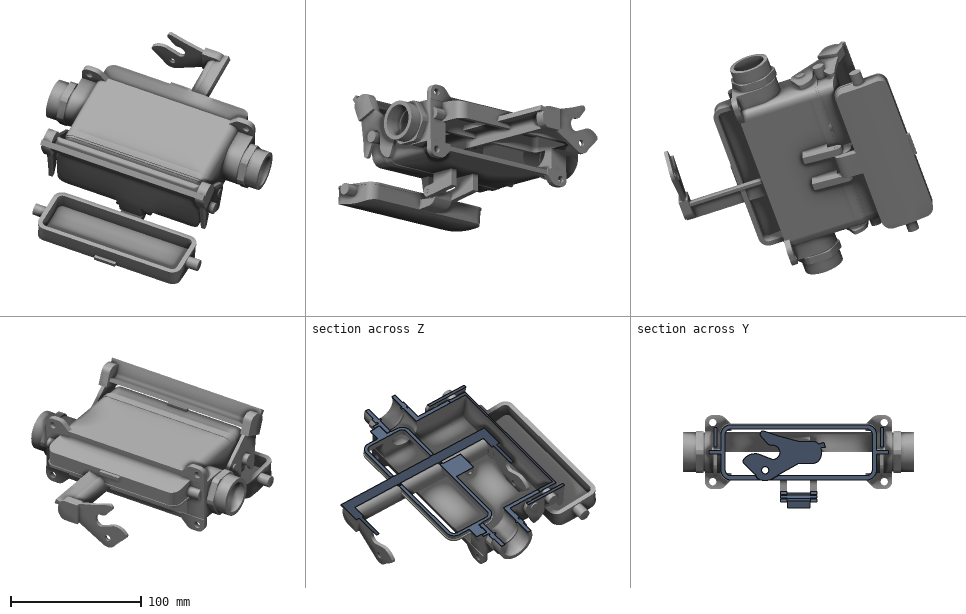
import cadquery as cq
import math

half_width = 60.0
half_height = 21.4
depth = 63.4
wall = 3.6
corner_radius = 7.3
collar_length = 5.7
collar_rise = 0.5

lug_back = 0.5
lug_front = -3.8
lug_half_width = 72.0
lug_half_height = 28.5
lug_corner = 6.0
lug_foot_x = 61.6
lug_foot_radius = 7.6
lug_inner_x = 51.5
lug_hole_x = 65.8
lug_hole_z = 22.7
lug_hole_diameter = 5.5

entry_y = -19.3
boss_radius = 16.2
boss_end = lug_half_width
neck_diameter = 30.0
hex_start = 73.0
hex_end = 78.6
hex_flats = 32.0
hex_corners = 35.1
tube_diameter = 30.5
tube_end = 88.5
entry_bore = 24.2
entry_lip_bore = 21.8
entry_lip_end = 75.2
entry_lip_length = 2.0

cover_half_width = 59.3
cover_half_depth = 20.8
lip_height = 1.7
lip_overhang = 0.5
dome_edge_height = 13.2
dome_height = 15.6
floor_thickness = 1.7
catch_half_width = 8.8
catch_reach = 23.3
catch_bottom = 9.5
catch_top = 12.4
cover_pin_diameter = 9.0
cover_pin_height = 5.5
cover_pin_end = 69.0
hinge_y = -34.2
hinge_z = 1.0
hinge_eye_radius = 3.2
arm_half_width = 8.8
arm_inner_z = 5.3
arm_bend = (-35.3, 9.2)
arm_bend_end = (-31.1, 11.3)
open_angle = 85

embed = 1.0

ear_thickness = 5.3
ear_radius = 4.2
ear_lean = 0.8
ear_back = -37.2
ear_step = -57.2
ear_back_bottom = -34.3
ear_step_top = -28.8
ear_hole_diameter = 3.2
hinge_pin_diameter = 2.5

lever_half_length = 68.3
head_half_height = 8.5
head_length = 7.3
head_straight = 11.0
shoulder_x = 13.5
shoulder_z = 8.0
nose_x = 15.5
nose_z = 6.5
head_end_x = 17.7
bar_side_x = 4.4
bar_bottom_z = -6.0
bar_bend = (6.5, 3.6)
bar_bend_end = (10.3, 5.5)
bar_top_start = (10.9, 5.3)
bar_top_end = (19.5, 7.8)
bar_edge_x = 20.8
bar_inner_x = 6.9
bar_inner_z = 3.6
bar_inner_radius = 3.8
arm_outer = 65.5
arm_thickness = 2.9
pivot_x = -25.8
pivot_z = -13.7
pivot_diameter = 5.2
rivet_head_diameter = 7.0
rivet_end = 66.5
slot_x = -20.0
slot_radius = 5.3

lobe_start = (-21.8, -20.8)
lobe_middle = (-28.0, -21.5)
lobe_end = (-33.0, -17.5)
tip_start = (-42.2, -8.5)
tip_middle = (-43.0, -6.7)
tip_end = (-42.0, -5.0)
lip_middle = (-37.2, -1.5)
lip_end = (-31.3, -1.0)
slot_corner_middle = (-22.5, 5.5)
slot_corner_end = (-24.0, 6.5)
hook_start = (-28.8, 12.0)
hook_middle = (-29.5, 15.0)
hook_end = (-27.0, 16.6)
hook_back = (-15.6, 12.8)

closed_lever_turn = 112.6
closed_lever_y = -76.0
closed_lever_z = 18.5

hinge_axis_y = -depth - hinge_z
hinge_axis_z = hinge_y
hinge_end = arm_half_width + ear_thickness


def block(x_range, y_range, z_range):
    size = [high - low for low, high in (x_range, y_range, z_range)]
    corner = (x_range[0], y_range[0], z_range[0])
    return cq.Workplane("XY").box(*size, centered=False).translate(corner)


def rod_x(x_start, x_end, y, z, diameter):
    """A round rod along X."""
    return (
        cq.Workplane("YZ", origin=(x_start, y, z)).circle(diameter / 2).extrude(x_end - x_start)
    )


def rounded_bar_y(width, height, radius, y_front, y_back):
    """A bar along Y with its four long edges rounded."""
    bar = cq.Workplane("XZ", origin=(0, y_back, 0)).rect(width, height).extrude(y_back - y_front)
    return bar.edges("|Y").fillet(radius)


def both_sides(shape):
    return shape.union(shape.mirror("YZ"))


def largest_piece(shape):
    """The main solid left after a notch, without any corner that the notch severed."""
    return cq.Workplane(max(shape.val().Solids(), key=lambda solid: solid.Volume()))


def cover_tray():
    """Shallow tray with an outset lip and a floor curved about X."""

    def curved_block(half_x, half_y, edge_height, middle_height):
        return (
            cq.Workplane("YZ", origin=(-half_x, 0, 0))
            .moveTo(-half_y, 0)
            .lineTo(half_y, 0)
            .lineTo(half_y, edge_height)
            .threePointArc((0, middle_height), (-half_y, edge_height))
            .close()
            .extrude(2 * half_x)
        )

    tray = curved_block(cover_half_width, cover_half_depth, dome_edge_height, dome_height)
    tray = tray.edges("|Z").fillet(corner_radius)
    lip = (
        cq.Workplane("XY")
        .rect(2 * (cover_half_width + lip_overhang), 2 * (cover_half_depth + lip_overhang))
        .extrude(lip_height)
        .edges("|Z")
        .fillet(corner_radius + lip_overhang)
    )
    cavity = curved_block(
        cover_half_width + lip_overhang - wall,
        cover_half_depth + lip_overhang - wall,
        dome_edge_height - floor_thickness,
        dome_height - floor_thickness,
    )
    cavity = cavity.edges("|Z").fillet(corner_radius + lip_overhang - wall)
    return tray.union(lip).cut(cavity)


def cover_arm():
    """Curved hinge arm ending in an eye round the hinge axis."""
    root_y = embed - cover_half_depth
    eye_inner_y = hinge_y + hinge_eye_radius
    eye_outer_y = hinge_y - hinge_eye_radius
    return (
        cq.Workplane("YZ", origin=(-arm_half_width, 0, 0))
        .moveTo(root_y, arm_inner_z)
        .lineTo(eye_inner_y, arm_inner_z)
        .lineTo(eye_inner_y, hinge_z)
        .threePointArc((hinge_y, hinge_z - hinge_eye_radius), (eye_outer_y, hinge_z))
        .lineTo(eye_outer_y, arm_inner_z)
        .threePointArc(arm_bend, arm_bend_end)
        .lineTo(root_y, dome_edge_height)
        .close()
        .extrude(2 * arm_half_width)
    )


def cover():
    body = cover_tray().union(cover_arm())
    body = body.union(
        block(
            (-catch_half_width, catch_half_width),
            (cover_half_depth - embed, catch_reach),
            (catch_bottom, catch_top),
        )
    )
    pin = rod_x(cover_half_width - embed, cover_pin_end, 0, cover_pin_height, cover_pin_diameter)
    body = body.union(both_sides(pin))
    return body.cut(
        rod_x(-arm_half_width, arm_half_width, hinge_y, hinge_z, hinge_pin_diameter)
    )


def lever_bar():
    """Angle-shaped grip bar with a rounded outer corner."""
    return (
        cq.Workplane("XZ", origin=(0, lever_half_length, 0))
        .moveTo(bar_side_x, bar_bottom_z)
        .lineTo(bar_side_x, 0)
        .threePointArc(bar_bend, bar_bend_end)
        .lineTo(*bar_top_start)
        .lineTo(*bar_top_end)
        .lineTo(bar_edge_x, bar_inner_z)
        .lineTo(bar_inner_x + bar_inner_radius, bar_inner_z)
        .tangentArcPoint((bar_inner_x, bar_inner_z - bar_inner_radius), relative=False)
        .lineTo(bar_inner_x, bar_bottom_z)
        .close()
        .extrude(2 * lever_half_length)
    )


def lever_head():
    """Block with a rounded end that joins the bar to the flat arm."""
    return (
        cq.Workplane("XZ", origin=(0, lever_half_length, 0))
        .moveTo(0, -head_half_height)
        .lineTo(head_straight, -head_half_height)
        .threePointArc((shoulder_x, -shoulder_z), (nose_x, -nose_z))
        .threePointArc((head_end_x, 0), (nose_x, nose_z))
        .threePointArc((shoulder_x, shoulder_z), (head_straight, head_half_height))
        .lineTo(0, head_half_height)
        .close()
        .extrude(head_length)
    )


def lever_arm():
    """Flat end plate with a round lobe at the pivot and a hook over the cover pin."""
    plate = (
        cq.Workplane("XZ", origin=(0, arm_outer, 0))
        .moveTo(embed, -head_half_height)
        .lineTo(0, -head_half_height)
        .lineTo(*lobe_start)
        .threePointArc(lobe_middle, lobe_end)
        .lineTo(*tip_start)
        .threePointArc(tip_middle, tip_end)
        .threePointArc(lip_middle, lip_end)
        .lineTo(slot_x, -slot_radius)
        .threePointArc((slot_x + slot_radius, 0), (slot_x, slot_radius))
        .threePointArc(slot_corner_middle, slot_corner_end)
        .lineTo(*hook_start)
        .threePointArc(hook_middle, hook_end)
        .lineTo(*hook_back)
        .lineTo(0, head_half_height)
        .lineTo(embed, head_half_height)
        .close()
        .extrude(arm_thickness)
    )
    hole = (
        cq.Workplane("XZ", origin=(pivot_x, arm_outer, pivot_z))
        .circle(pivot_diameter / 2)
        .extrude(arm_thickness)
    )
    return plate.cut(hole)


def lever():
    end = lever_head().union(lever_arm())
    return lever_bar().union(end).union(end.mirror("XZ"))


def swung_to_housing(shape):
    """Turns a lever lying along Y so that it lies along X across the front of the housing."""
    lying = shape.rotate((0, 0, 0), (0, 0, 1), 90)
    return lying.rotate((0, 0, 0), (1, 0, 0), closed_lever_turn).translate(
        (0, closed_lever_y, closed_lever_z)
    )


def shell():
    body = rounded_bar_y(2 * half_width, 2 * half_height, corner_radius, -depth, 0)
    collar = rounded_bar_y(
        2 * half_width,
        2 * (half_height + collar_rise),
        corner_radius,
        -depth,
        collar_length - depth,
    )
    return body.union(collar)


def lug():
    foot_run = lug_foot_radius * math.sin(math.pi / 4)
    foot_drop = lug_foot_radius - foot_run
    plate = (
        cq.Workplane("XZ", origin=(0, lug_back, 0))
        .moveTo(lug_inner_x, boss_radius)
        .lineTo(lug_half_width, boss_radius)
        .lineTo(lug_half_width, lug_half_height - lug_corner)
        .radiusArc((lug_half_width - lug_corner, lug_half_height), -lug_corner)
        .lineTo(lug_foot_x, lug_half_height)
        .radiusArc((lug_foot_x - foot_run, lug_half_height - foot_drop), -lug_foot_radius)
        .lineTo(lug_inner_x, half_height)
        .close()
        .extrude(lug_back - lug_front)
    )
    hole = (
        cq.Workplane("XZ", origin=(lug_hole_x, lug_back, lug_hole_z))
        .circle(lug_hole_diameter / 2)
        .extrude(lug_back - lug_front)
    )
    return plate.cut(hole)


def cable_entry():
    inside = half_width - wall
    boss = rod_x(inside, boss_end, entry_y, 0, 2 * boss_radius).union(
        block((inside, boss_end), (entry_y, 0), (-boss_radius, boss_radius))
    )
    neck = rod_x(boss_end, hex_start, entry_y, 0, neck_diameter)
    nut = (
        cq.Workplane("YZ", origin=(hex_start, entry_y, 0))
        .polygon(6, hex_flats / math.cos(math.pi / 6))
        .extrude(hex_end - hex_start)
        .intersect(rod_x(hex_start, hex_end, entry_y, 0, hex_corners))
    )
    tube = rod_x(hex_end, tube_end, entry_y, 0, tube_diameter)
    return boss.union(neck).union(nut).union(tube)


def entry_lip():
    """Thin inward lip inside the cable entry."""
    start = entry_lip_end - entry_lip_length
    ring = rod_x(start, entry_lip_end, entry_y, 0, (entry_bore + tube_diameter) / 2)
    return ring.cut(rod_x(start, entry_lip_end, entry_y, 0, entry_lip_bore))


def hinge_ear():
    return (
        cq.Workplane("YZ", origin=(arm_half_width, 0, 0))
        .moveTo(ear_back, embed - half_height)
        .lineTo(ear_back, ear_back_bottom)
        .lineTo(hinge_axis_y + ear_lean, hinge_axis_z - ear_radius)
        .threePointArc(
            (hinge_axis_y - ear_radius, hinge_axis_z),
            (hinge_axis_y + ear_lean, hinge_axis_z + ear_radius),
        )
        .lineTo(ear_step, ear_step_top)
        .lineTo(ear_step, embed - half_height)
        .close()
        .extrude(ear_thickness)
        .cut(rod_x(arm_half_width, hinge_end, hinge_axis_y, hinge_axis_z, ear_hole_diameter))
    )


def lever_rivet():
    turn = math.radians(closed_lever_turn)
    y = closed_lever_y + pivot_x * math.cos(turn) - pivot_z * math.sin(turn)
    z = closed_lever_z + pivot_x * math.sin(turn) + pivot_z * math.cos(turn)
    shank = rod_x(half_width - wall, arm_outer, y, z, pivot_diameter)
    return shank.union(rod_x(arm_outer, rivet_end, y, z, rivet_head_diameter))


def housing_body():
    lugs = both_sides(lug())
    lugs = lugs.union(lugs.mirror("XY"))
    body = shell().union(lugs)
    for side_part in (cable_entry(), hinge_ear(), lever_rivet()):
        body = body.union(both_sides(side_part))
    cavity = rounded_bar_y(
        2 * (half_width - wall), 2 * (half_height - wall), corner_radius - wall, -depth, 0
    )
    body = body.cut(cavity)
    body = body.cut(rod_x(-tube_end, tube_end, entry_y, 0, entry_bore))
    return body.union(both_sides(entry_lip()))


rear_lever = lever()
front_lever = swung_to_housing(rear_lever)

whole_cover = cover()
closed_cover = whole_cover.rotate((0, 0, 0), (1, 0, 0), 90).translate((0, -depth, 0))
open_cover = closed_cover.rotate(
    (0, hinge_axis_y, hinge_axis_z), (1, hinge_axis_y, hinge_axis_z), open_angle
)
hinge_pin = rod_x(-hinge_end, hinge_end, hinge_axis_y, hinge_axis_z, hinge_pin_diameter)

housing = largest_piece(housing_body().cut(whole_cover).cut(rear_lever))
rear_cover = largest_piece(whole_cover.cut(rear_lever))
closed_cover = largest_piece(closed_cover.cut(rear_lever))
open_cover = largest_piece(open_cover.cut(closed_cover))

bodies = [housing, closed_cover, open_cover, rear_cover, front_lever, rear_lever, hinge_pin]
result = cq.Compound.makeCompound([body.val() for body in bodies])